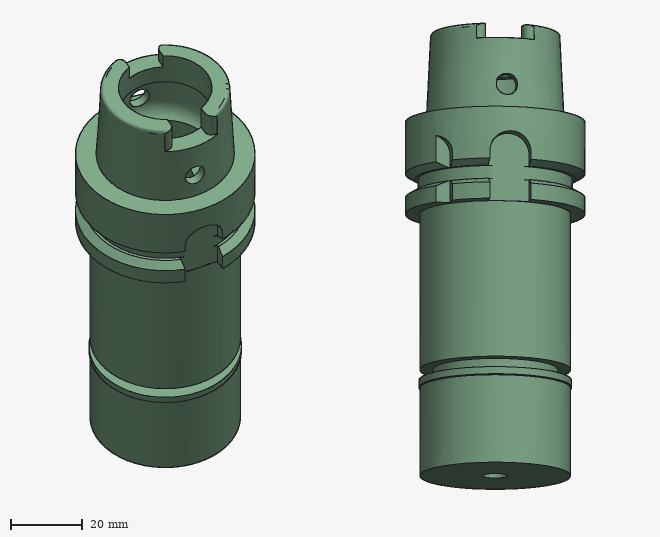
import cadquery as cq
import math

TOTAL_HEIGHT = 125.0
NUT_HEIGHT = 25.0
RING_HEIGHT = 2.0
NECK_GAP = 3.0
SHANK_HEIGHT = 25.0
FLANGE_HEIGHT = 26.0

RING_TOP = NUT_HEIGHT + RING_HEIGHT
BODY_BOTTOM = RING_TOP + NECK_GAP
FLANGE_TOP = TOTAL_HEIGHT - SHANK_HEIGHT
FLANGE_BOTTOM = FLANGE_TOP - FLANGE_HEIGHT

BODY_RADIUS = 21.0
NUT_CHAMFER = 0.2
RING_RADIUS = 21.2
NECK_RADIUS = 17.5

FLANGE_RADIUS = 25.0
GROOVE_RADIUS = 21.5
GROOVE_WIDTH = 3.8
GROOVE_CENTER = FLANGE_TOP - 18.0
BEVEL_HEIGHT = 1.5
BEVEL_SLOPE = 30.0
BEVEL_RUN = BEVEL_HEIGHT / math.tan(math.radians(BEVEL_SLOPE))

SHANK_BASE_RADIUS = 19.2
SHANK_TIP_RADIUS = 18.0
TIP_ROUNDING = 1.0
CROSS_HOLE_DIAMETER = 6.0
CROSS_HOLE_Z = 107.5

MOUTH_RADIUS = 13.0
MOUTH_DEPTH = 9.9
UNDERCUT_RADIUS = 16.2
UNDERCUT_ROUND_START_Z = 105.1
UNDERCUT_ROUNDING = 5.0
BORE_FLOOR_Z = 90.0
COUNTERBORE_RADIUS = 8.1
COUNTERBORE_DEPTH = 10.0
THROUGH_RADIUS = 3.5

TIP_SLOT_WIDTH = 10.5
TIP_SLOT_ROUNDING = 2.0
SHALLOW_SLOT_DEPTH = 4.2
DEEP_SLOT_DEPTH = 7.2

KEYWAY_WIDTH = 11.6
KEYWAY_TOP = 93.1
KEYWAY_FLOOR_X = BODY_RADIUS
NOTCH_SIDE_Y = 15.5
NOTCH_FLOOR_X = 15.6


def cylinder(radius, bottom, top):
    return cq.Workplane("XY").workplane(offset=bottom).circle(radius).extrude(top - bottom)


def revolve_profile(points):
    """Turn a closed (radius, height) outline about the Z axis."""
    return cq.Workplane("XZ").polyline(points).close().revolve(360, (0, 0, 0), (0, 1, 0))


def turned_holder():
    groove_bottom = GROOVE_CENTER - GROOVE_WIDTH / 2
    groove_top = GROOVE_CENTER + GROOVE_WIDTH / 2
    bevel_inner_radius = FLANGE_RADIUS - BEVEL_RUN
    body = revolve_profile([
        (0, NUT_HEIGHT),
        (NECK_RADIUS, NUT_HEIGHT),
        (NECK_RADIUS, BODY_BOTTOM),
        (BODY_RADIUS, BODY_BOTTOM),
        (BODY_RADIUS, FLANGE_BOTTOM),
        (FLANGE_RADIUS, FLANGE_BOTTOM),
        (FLANGE_RADIUS, groove_bottom - BEVEL_HEIGHT),
        (bevel_inner_radius, groove_bottom),
        (GROOVE_RADIUS, groove_bottom),
        (GROOVE_RADIUS, groove_top),
        (bevel_inner_radius, groove_top),
        (FLANGE_RADIUS, groove_top + BEVEL_HEIGHT),
        (FLANGE_RADIUS, FLANGE_TOP),
        (SHANK_BASE_RADIUS, FLANGE_TOP),
        (SHANK_TIP_RADIUS, TOTAL_HEIGHT),
        (0, TOTAL_HEIGHT),
    ])
    return body.faces(">Z").edges().fillet(TIP_ROUNDING)


def stepped_bore():
    """Bore with a rounded-bottom undercut below its mouth, a counterbore and a through hole."""
    counterbore_floor = BORE_FLOOR_Z - COUNTERBORE_DEPTH
    undercut_top = TOTAL_HEIGHT - MOUTH_DEPTH
    round_center_radius = UNDERCUT_RADIUS - UNDERCUT_ROUNDING
    round_angle = math.acos((MOUTH_RADIUS - round_center_radius) / UNDERCUT_ROUNDING)
    round_end_z = UNDERCUT_ROUND_START_Z - UNDERCUT_ROUNDING * math.sin(round_angle)
    round_middle = (
        round_center_radius + UNDERCUT_ROUNDING * math.cos(round_angle / 2),
        UNDERCUT_ROUND_START_Z - UNDERCUT_ROUNDING * math.sin(round_angle / 2),
    )
    undercut = (
        cq.Workplane("XZ")
        .moveTo(0, round_end_z)
        .lineTo(MOUTH_RADIUS, round_end_z)
        .threePointArc(round_middle, (UNDERCUT_RADIUS, UNDERCUT_ROUND_START_Z))
        .lineTo(UNDERCUT_RADIUS, undercut_top)
        .lineTo(0, undercut_top)
        .close()
        .revolve(360, (0, 0, 0), (0, 1, 0))
    )
    return (
        cylinder(THROUGH_RADIUS, NUT_HEIGHT, counterbore_floor)
        .union(cylinder(COUNTERBORE_RADIUS, counterbore_floor, BORE_FLOOR_Z))
        .union(cylinder(MOUTH_RADIUS, BORE_FLOOR_Z, TOTAL_HEIGHT))
        .union(undercut)
    )


def tip_slot(side, depth):
    """Slot through one side of the shank wall, its outer corners rounded; side is -1 or 1 along X."""
    half_width = TIP_SLOT_WIDTH / 2
    rounding_y = half_width + TIP_SLOT_ROUNDING
    reach = SHANK_TIP_RADIUS - TIP_SLOT_ROUNDING
    rounding_x = math.sqrt(reach ** 2 - rounding_y ** 2)
    end_x = rounding_x * SHANK_TIP_RADIUS / reach
    end_y = rounding_y * SHANK_TIP_RADIUS / reach
    middle_angle = (math.atan2(rounding_y, rounding_x) - math.pi / 2) / 2
    middle_x = rounding_x + TIP_SLOT_ROUNDING * math.cos(middle_angle)
    middle_y = rounding_y + TIP_SLOT_ROUNDING * math.sin(middle_angle)
    return (
        cq.Workplane("XY").workplane(offset=TOTAL_HEIGHT - depth)
        .moveTo(0, -half_width)
        .lineTo(side * rounding_x, -half_width)
        .threePointArc((side * middle_x, -middle_y), (side * end_x, -end_y))
        .lineTo(side * FLANGE_RADIUS, -end_y)
        .lineTo(side * FLANGE_RADIUS, end_y)
        .lineTo(side * end_x, end_y)
        .threePointArc((side * middle_x, middle_y), (side * rounding_x, half_width))
        .lineTo(0, half_width)
        .close()
        .extrude(depth)
    )


def arched_cutter(center_y, inner_x, outer_x):
    """Round-topped slot that runs along X between two X positions, open at the flange bottom."""
    radius = KEYWAY_WIDTH / 2
    arch_z = KEYWAY_TOP - radius
    return (
        cq.Workplane("YZ").workplane(offset=inner_x)
        .moveTo(center_y - radius, FLANGE_BOTTOM)
        .lineTo(center_y - radius, arch_z)
        .threePointArc((center_y, KEYWAY_TOP), (center_y + radius, arch_z))
        .lineTo(center_y + radius, FLANGE_BOTTOM)
        .close()
        .extrude(outer_x - inner_x)
    )


def make_holder():
    holder = turned_holder().cut(stepped_bore())
    holder = holder.cut(tip_slot(-1, SHALLOW_SLOT_DEPTH))
    holder = holder.cut(tip_slot(1, DEEP_SLOT_DEPTH))
    for side in (-1, 1):
        holder = holder.cut(arched_cutter(0, side * KEYWAY_FLOOR_X, side * FLANGE_RADIUS))
    notch_center_y = NOTCH_SIDE_Y + KEYWAY_WIDTH / 2
    holder = holder.cut(arched_cutter(notch_center_y, -NOTCH_FLOOR_X, -FLANGE_RADIUS))
    cross_hole = (
        cq.Workplane("YZ").center(0, CROSS_HOLE_Z)
        .circle(CROSS_HOLE_DIAMETER / 2)
        .extrude(FLANGE_RADIUS, both=True)
    )
    return holder.cut(cross_hole)


def make_ring():
    """Collar ring around the holder's neck, seated on the nut."""
    return cylinder(RING_RADIUS, NUT_HEIGHT, RING_TOP).cut(cylinder(NECK_RADIUS, NUT_HEIGHT, RING_TOP))


def make_nut():
    nut = cylinder(BODY_RADIUS, 0, NUT_HEIGHT).faces(">Z").edges().chamfer(NUT_CHAMFER)
    return nut.cut(cylinder(THROUGH_RADIUS, 0, NUT_HEIGHT))


holder = make_holder()
ring = make_ring()
nut = make_nut()

result = cq.Compound.makeCompound([holder.val(), ring.val(), nut.val()])